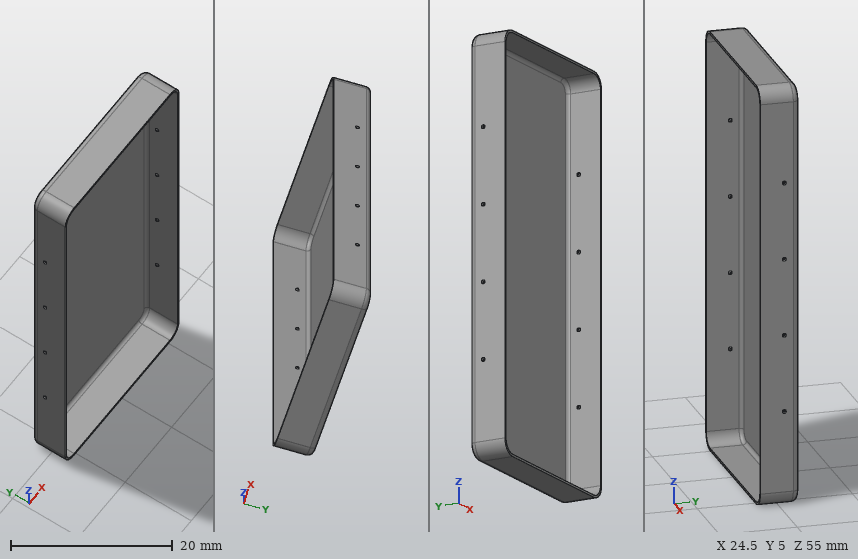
import cadquery as cq
import math

width = 24.5
depth = 5.0
height = 55.0
corner_radius = 1.9
back_edge_radius = 0.75

wall = 0.3
floor_thickness = 0.3
floor_fillet = 0.5

bump_base_diameter = 0.5
bump_tip_diameter = 0.2
bump_height = 0.15
bump_count = 4
bump_pitch = 10.0
bump_from_rim = 3.1

rim_y = -depth / 2


def rounded_block(size_x, size_y, size_z, vertical_radius, back_radius):
    """Block from the rim toward +Y, with rounded corners and back edge."""
    block = cq.Workplane("XY").box(size_x, size_y, size_z)
    block = block.edges("|Y").fillet(vertical_radius)
    block = block.faces(">Y").edges().fillet(back_radius)
    return block.translate((0, rim_y + size_y / 2, 0))


def cone_row(base_x, inward):
    """Row of blunt cones along Z, pointing along X in the inward direction (+1 or -1)."""
    taper = math.degrees(math.atan((bump_base_diameter - bump_tip_diameter) / 2 / bump_height))
    base_plane = cq.Plane(
        origin=(base_x, rim_y + bump_from_rim, 0),
        xDir=(0, 1, 0),
        normal=(inward, 0, 0),
    )
    return (
        cq.Workplane(base_plane)
        .rarray(0.55, bump_pitch, 1, bump_count)
        .circle(bump_base_diameter / 2)
        .extrude(bump_height, taper=taper)
    )


shell = rounded_block(width, depth, height, corner_radius, back_edge_radius)
cavity = rounded_block(
    width - 2 * wall,
    depth - floor_thickness,
    height - 2 * wall,
    corner_radius - wall,
    floor_fillet,
)

result = shell.cut(cavity)

for side in (-1, 1):
    bumps = cone_row(side * (width / 2 - wall), -side)
    dimples = cone_row(side * width / 2, -side)
    result = result.union(bumps).cut(dimples)